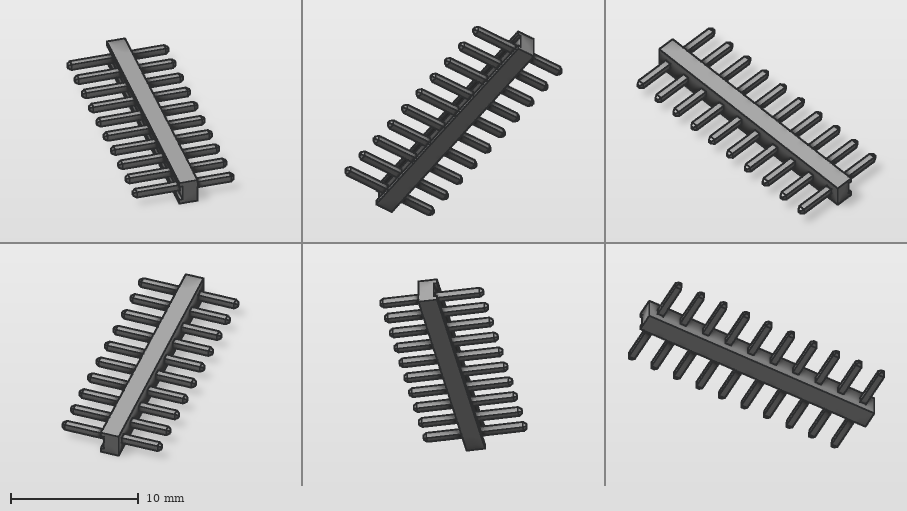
import cadquery as cq

HOUSING_LENGTH = 20.0
HOUSING_DEPTH = 1.48
HOUSING_HEIGHT = 1.98
CHANNEL_DEPTH = 0.25
CHANNEL_HEIGHT = 1.22

PIN_COUNT = 10
PIN_PITCH = HOUSING_LENGTH / PIN_COUNT
PIN_LENGTH = 8.2
PIN_WIDTH = 0.52
TIP_WIDTH = PIN_WIDTH / 2
TIP_LENGTH = 0.25
FRONT_REACH = 3.5

FRONT_END = -FRONT_REACH
BACK_END = FRONT_END + PIN_LENGTH
FRONT_SHOULDER = FRONT_END + TIP_LENGTH
BACK_SHOULDER = BACK_END - TIP_LENGTH

PIN_POSITIONS = [(i - (PIN_COUNT - 1) / 2) * PIN_PITCH for i in range(PIN_COUNT)]
INNER_POSITIONS = PIN_POSITIONS[1:-1]
END_POSITIONS = [PIN_POSITIONS[0], PIN_POSITIONS[-1]]


def make_block(width, start_y, end_y, height):
    """Block centred on X and Z that spans start_y to end_y."""
    block = cq.Workplane("XY").box(width, end_y - start_y, height, centered=(True, False, True))
    return block.translate((0, start_y, 0))


def make_tip(shoulder_y, end_y):
    """Square taper from a pin's shoulder to its flat end."""
    return (
        cq.Workplane("XZ", origin=(0, shoulder_y, 0))
        .rect(PIN_WIDTH, PIN_WIDTH)
        .workplane(offset=shoulder_y - end_y)
        .rect(TIP_WIDTH, TIP_WIDTH)
        .loft(ruled=True)
    )


def make_pin(x):
    """Pin with its axis along Y at the given X."""
    shank = make_block(PIN_WIDTH, FRONT_SHOULDER, BACK_SHOULDER, PIN_WIDTH)
    front_tip = make_tip(FRONT_SHOULDER, FRONT_END)
    back_tip = make_tip(BACK_SHOULDER, BACK_END)
    return shank.union(front_tip).union(back_tip).translate((x, 0, 0))


def make_housing():
    """Channelled bar, in one piece with the inner pins, with a through hole for each end pin."""
    bar = make_block(HOUSING_LENGTH, 0, HOUSING_DEPTH, HOUSING_HEIGHT)
    channel = make_block(HOUSING_LENGTH, 0, CHANNEL_DEPTH, CHANNEL_HEIGHT)
    body = bar.cut(channel)
    for x in INNER_POSITIONS:
        body = body.union(make_pin(x))
    for x in END_POSITIONS:
        hole = make_block(PIN_WIDTH, 0, HOUSING_DEPTH, PIN_WIDTH).translate((x, 0, 0))
        body = body.cut(hole)
    return body


housing = make_housing()
end_pins = [make_pin(x) for x in END_POSITIONS]

result = cq.Compound.makeCompound([housing.solids().val(), *[pin.solids().val() for pin in end_pins]])